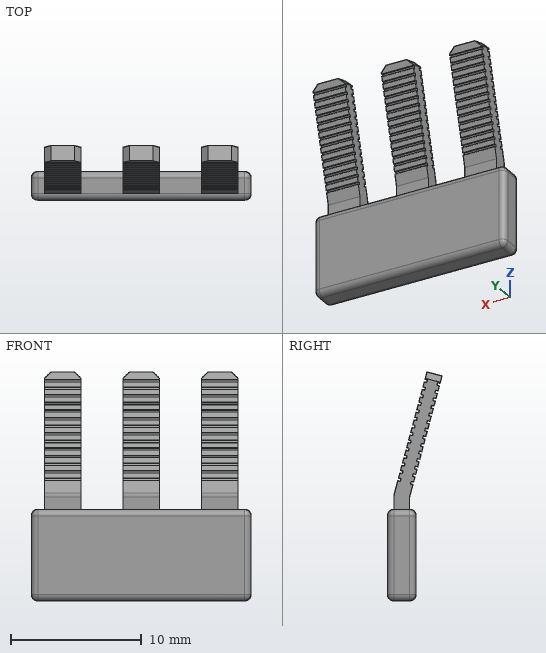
import cadquery as cq
import math

block_length = 16.8
block_thickness = 2.2
block_height = 7.0
total_height = 17.5

finger_count = 3
finger_pitch = 6.0
finger_width = 2.8
finger_thickness = 1.2
bend_angle = 15.0
bend_start = 0.93
tip_chamfer = 0.5

groove_count = 14
groove_width = 0.2
groove_depth = 0.2
first_groove_from_tip = 0.6
last_groove_from_tip = 8.4
groove_pitch = (last_groove_from_tip - first_groove_from_tip) / (groove_count - 1)

edge_radius = (block_thickness - finger_thickness) / 2

stem_bottom = block_height - edge_radius

bend_z = block_height + bend_start
bend_y = finger_thickness / 2
angle = math.radians(bend_angle)
arm_length = (total_height - bend_z - finger_thickness * math.sin(angle)) / math.cos(angle)


def make_block():
    block = cq.Workplane("XY").box(
        block_length, block_thickness, block_height, centered=(True, True, False)
    )
    return block.edges().fillet(edge_radius)


def make_stem():
    """Upright foot of a finger plus the rounded wedge that turns it towards +Y."""

    def outer_point(turn):
        return (
            bend_y - finger_thickness * math.cos(turn),
            bend_z + finger_thickness * math.sin(turn),
        )

    return (
        cq.Workplane("YZ")
        .moveTo(bend_y, stem_bottom)
        .lineTo(-bend_y, stem_bottom)
        .lineTo(*outer_point(0))
        .threePointArc(outer_point(angle / 2), outer_point(angle))
        .lineTo(bend_y, bend_z)
        .close()
        .extrude(finger_width / 2, both=True)
    )


def make_arm():
    """Grooved straight part of a finger, built upright and then tilted about the bend corner."""
    arm = (
        cq.Workplane("XY", origin=(0, 0, bend_z))
        .box(finger_width, finger_thickness, arm_length, centered=(True, True, False))
        .edges("|Y and >Z")
        .chamfer(tip_chamfer)
    )
    tip_z = bend_z + arm_length
    for index in range(groove_count):
        groove_z = tip_z - first_groove_from_tip - groove_width / 2 - index * groove_pitch
        for side in (-1, 1):
            groove = cq.Workplane("XY", origin=(0, side * finger_thickness / 2, groove_z)).box(
                finger_width, 2 * groove_depth, groove_width
            )
            arm = arm.cut(groove)
    return arm.rotate((0, bend_y, bend_z), (1, bend_y, bend_z), -bend_angle)


finger = make_stem().union(make_arm())

result = make_block()
for index in range(finger_count):
    finger_x = (index - (finger_count - 1) / 2) * finger_pitch
    result = result.union(finger.translate((finger_x, 0, 0)))